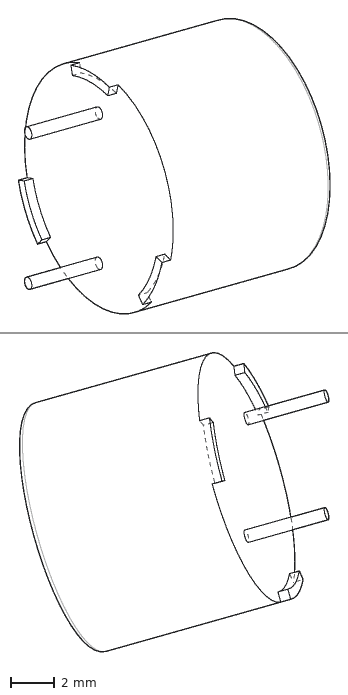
import cadquery as cq
import math

body_diameter = 12.0
body_length = 9.0
back_edge_radius = 0.22
pin_diameter = 0.6
pin_spacing = 7.6
pin_length = 4.0
foot_height = 0.5
foot_width = 0.5
foot_span = 30
foot_count = 3
first_foot_angle = 90
cut_margin = 0.65

body_radius = body_diameter / 2
foot_pitch = 360 / foot_count
gap_span = foot_pitch - foot_span


def polar_point(radius, angle):
    """Point in the XZ plane, with the angle in degrees from +X towards +Z."""
    return radius * math.cos(math.radians(angle)), radius * math.sin(math.radians(angle))


def make_body():
    """Cylinder reaching to the tips of the feet, with its back rim rounded."""
    body = cq.Workplane("XZ", origin=(0, body_length, 0)).circle(body_radius)
    body = body.extrude(body_length + foot_height)
    return body.faces(">Y").edges().fillet(back_edge_radius)


def make_core_cut():
    """Disc removed from inside the ring of feet, down to the pin face."""
    return cq.Workplane("XZ").circle(body_radius - foot_width).extrude(foot_height + cut_margin)


def make_gap_cut(angle):
    """Sector removed between two feet, centred on the given angle."""
    radius = body_radius + cut_margin
    return (
        cq.Workplane("XZ")
        .lineTo(*polar_point(radius, angle - gap_span / 2))
        .threePointArc(polar_point(radius, angle), polar_point(radius, angle + gap_span / 2))
        .close()
        .extrude(foot_height + cut_margin)
    )


def make_pins():
    """Two round pins above and below the axis."""
    centers = [(0, -pin_spacing / 2), (0, pin_spacing / 2)]
    return cq.Workplane("XZ").pushPoints(centers).circle(pin_diameter / 2).extrude(pin_length)


result = make_body().cut(make_core_cut())
for index in range(foot_count):
    gap_angle = first_foot_angle + (index + 0.5) * foot_pitch
    result = result.cut(make_gap_cut(gap_angle))
result = result.union(make_pins())